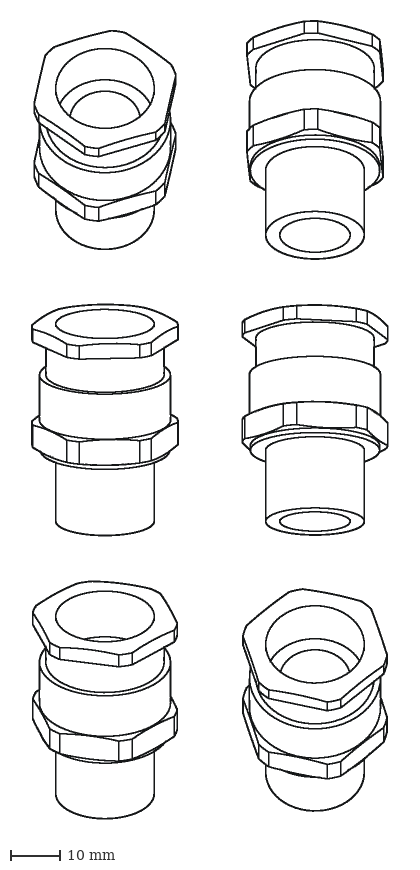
import cadquery as cq
import math

flange_bottom = 15.02
nut_bottom = 16.0
nut_top = 21.45
collar_top = 31.05
cap_bottom = 38.65
total_height = 41.85

spigot_diameter = 20.05
flange_diameter = 26.3
collar_diameter = 26.6
neck_diameter = 24.02
through_hole_diameter = 14.25
upper_bore_diameter = 20.0

across_flats = 27.0
across_corners = 29.67
chamfer_drop = 0.38


def cylinder(diameter, bottom, top):
    return cq.Workplane("XY").workplane(offset=bottom).circle(diameter / 2).extrude(top - bottom)


def hexagon(bottom, top, chamfer_bottom):
    """Hexagon with trimmed corners and conical chamfers that touch its flats."""
    height = top - bottom
    sharp_diameter = across_flats / math.cos(math.pi / 6)
    prism = cq.Workplane("XY").workplane(offset=bottom).polygon(6, sharp_diameter).extrude(height)

    flat_radius = across_flats / 2
    corner_radius = across_corners / 2
    profile = cq.Workplane("XZ").moveTo(0, bottom)
    if chamfer_bottom:
        profile = profile.lineTo(flat_radius, bottom).lineTo(corner_radius, bottom + chamfer_drop)
    else:
        profile = profile.lineTo(corner_radius, bottom)
    profile = profile.lineTo(corner_radius, top - chamfer_drop).lineTo(flat_radius, top).lineTo(0, top)
    envelope = profile.close().revolve(360, (0, 0), (0, 1))
    return prism.intersect(envelope)


body = cylinder(spigot_diameter, 0, flange_bottom)
body = body.union(cylinder(flange_diameter, flange_bottom, nut_bottom))
body = body.union(hexagon(nut_bottom, nut_top, chamfer_bottom=True))
body = body.union(cylinder(collar_diameter, nut_top, collar_top))
body = body.union(cylinder(neck_diameter, collar_top, cap_bottom))
body = body.union(hexagon(cap_bottom, total_height, chamfer_bottom=False))

through_hole = cylinder(through_hole_diameter, 0, total_height)
upper_bore = cylinder(upper_bore_diameter, collar_top, total_height)
result = body.cut(through_hole).cut(upper_bore)